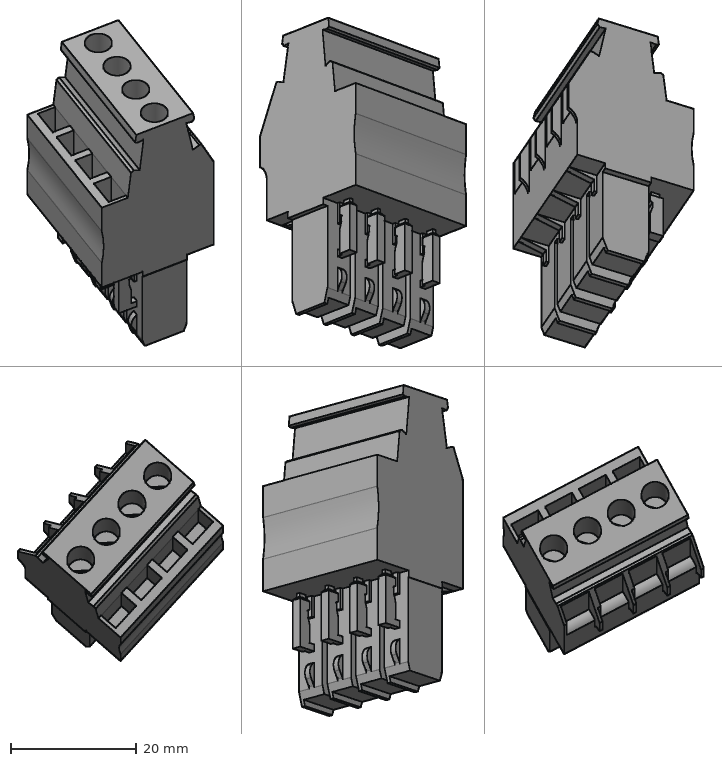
import cadquery as cq


POLES = 4
WIDTH = 24.6
PITCH = WIDTH / POLES
HEIGHT = 48.5
FIN_BACK = 22.0
BODY_BACK = 20.45
BODY_BOTTOM = 17.65
OVERLAP = 0.25

LEDGE_Z = 35.3
LEDGE_BACK = 4.75
FACE_DISH_TOP = 30.05
FACE_DISH_BOTTOM = 23.1
FACE_DISH_DEPTH = 0.35
HEAD_FRONT = 6.3
HEAD_BACK = 16.7
LIP_FRONT = 6.1
LIP_FRONT_Z = 46.9
LIP_BACK = 16.9
LIP_BACK_Z = 47.15
HOOK_FRONT = 6.6
HOOK_BACK = 16.55
HOOK_BOTTOM = 46.65
NECK_TOP = 46.8
NECK_BOTTOM = 40.4
NECK_TOP_FRONT = 7.6
NECK_TOP_BACK = 15.45
NECK_BOTTOM_FRONT = 6.95
NECK_BOTTOM_BACK = 16.65
SHOULDER_Z = 40.85
SHOULDER_FRONT = 5.8
SHOULDER_EDGE_FRONT = 5.35
SHOULDER_EDGE_Z = 40.55
SHOULDER_BACK = 17.8
SLOPE_TOP_BACK = 18.25
SLOPE_BOTTOM_Z = 32.6

FIN_THICKNESS = 0.55
FIN_FOOT_TOP = 27.3
FIN_FOOT_BOTTOM = 24.9
FIN_FOOT_MID = (21.0, 26.35)
RECESS_END = 5.6
RECESS_FRONT = 18.4
RECESS_FLOOR_Z = 29.1
RECESS_CROWN = 0.3

ENTRY_START = 0.65
ENTRY_END = 5.55
ENTRY_FRONT = 1.6
ENTRY_DEPTH = 9.7

SCREW_Y = 11.3
SCREW_RADIUS = 2.2
SCREW_HEAD_DEPTH = 9.7
SLOT_WIDTH = 0.75
SLOT_DEPTH = 0.95
SLOT_ANGLE = -45

BASE_BOTTOM = 16.55
PLUG_FRONT = 7.45
PLUG_BACK = 15.55
PLUG_START = 0.95
PLUG_END = 6.05
PLUG_TIP_Z = 0.95
PLUG_TAPER_Z = 2.4
TIP_FRONT = 8.2
TIP_BACK = 14.7
TAB_THICKNESS = 0.7

SHEET_START = 3.2
SHEET_END = 4.25
COLLAR_FRONT = 6.95
COLLAR_BACK = 16.05
COLLAR_BOTTOM = 14.1
COLLAR_SLOPE_Z = 16.6
BUMP_TOP = 6.55
BUMP_PEAK = (6.45, 4.85)
BUMP_TURN = (6.7, 3.9)
BUMP_BOTTOM = 2.7

ARM_START = 2.65
ARM_END = SHEET_END
ARM_FRONT = 4.1
ARM_BACK = 6.45
ARM_BOTTOM = 8.45
ARM_WAIST_BACK = 6.0
ARM_WAIST_TOP = 15.2
ARM_WAIST_STEP = 14.95
ARM_WAIST_MID = 13.95
ARM_WAIST_BOTTOM = 12.45
LINK_TOP = 9.6
ARM_CHAMFER_X = 0.5
ARM_CHAMFER_Y = 0.45
ARM_CHAMFER_Z = 0.5


def box(x0, x1, y0, y1, z0, z1):
    """Box between two opposite corners."""
    return cq.Workplane("XY").box(x1 - x0, y1 - y0, z1 - z0, centered=False).translate((x0, y0, z0))


def slab(outline, start, end):
    """Closed YZ outline extruded along X from start to end."""
    return outline.close().extrude(end - start).translate((start, 0, 0))


def housing():
    """Housing outline with fins, cut back to the plain rear face and recessed between the fins."""
    outline = (
        cq.Workplane("YZ")
        .moveTo(0, BODY_BOTTOM)
        .lineTo(0, FACE_DISH_BOTTOM)
        .threePointArc((FACE_DISH_DEPTH, (FACE_DISH_BOTTOM + FACE_DISH_TOP) / 2), (0, FACE_DISH_TOP))
        .lineTo(0, LEDGE_Z)
        .lineTo(LEDGE_BACK, LEDGE_Z)
        .lineTo(SHOULDER_EDGE_FRONT, SHOULDER_EDGE_Z)
        .lineTo(SHOULDER_FRONT, SHOULDER_Z)
        .lineTo(NECK_BOTTOM_FRONT, NECK_BOTTOM)
        .lineTo(NECK_TOP_FRONT, NECK_TOP)
        .lineTo(HOOK_FRONT, HOOK_BOTTOM)
        .lineTo(LIP_FRONT, LIP_FRONT_Z)
        .lineTo(HEAD_FRONT, HEIGHT)
        .lineTo(HEAD_BACK, HEIGHT)
        .lineTo(LIP_BACK, LIP_BACK_Z)
        .lineTo(HOOK_BACK, HOOK_BOTTOM)
        .lineTo(NECK_TOP_BACK, NECK_TOP)
        .lineTo(NECK_BOTTOM_BACK, NECK_BOTTOM)
        .lineTo(SHOULDER_BACK, SHOULDER_Z)
        .lineTo(SLOPE_TOP_BACK, SHOULDER_Z)
        .lineTo(FIN_BACK, SLOPE_BOTTOM_Z)
        .lineTo(FIN_BACK, FIN_FOOT_TOP)
        .threePointArc(FIN_FOOT_MID, (BODY_BACK, FIN_FOOT_BOTTOM))
        .lineTo(BODY_BACK, BODY_BOTTOM)
    )
    body = slab(outline, 0, WIDTH)
    crest = ((RECESS_FRONT + BODY_BACK) / 2, RECESS_FLOOR_Z + RECESS_CROWN)
    for pole in range(POLES):
        x = pole * PITCH
        body = body.cut(
            box(x + FIN_THICKNESS, x + PITCH, BODY_BACK, FIN_BACK + OVERLAP, BODY_BOTTOM, HEIGHT)
        )
        recess = (
            cq.Workplane("YZ")
            .moveTo(RECESS_FRONT, RECESS_FLOOR_Z)
            .threePointArc(crest, (BODY_BACK, RECESS_FLOOR_Z))
            .lineTo(BODY_BACK, SHOULDER_Z)
            .lineTo(RECESS_FRONT, SHOULDER_Z)
        )
        body = body.cut(slab(recess, x + FIN_THICKNESS, x + RECESS_END))
    return body


def wire_entry(x):
    return box(x + ENTRY_START, x + ENTRY_END, ENTRY_FRONT, LEDGE_BACK, LEDGE_Z - ENTRY_DEPTH, LEDGE_Z)


def screw_opening(x):
    """Screwdriver shaft down to the screw head, with the slot cut into the head."""
    head_z = HEIGHT - SCREW_HEAD_DEPTH
    centre = (x + PITCH / 2, SCREW_Y, head_z)
    shaft = cq.Workplane("XY").circle(SCREW_RADIUS).extrude(SCREW_HEAD_DEPTH)
    slot = (
        cq.Workplane("XY")
        .rect(2 * SCREW_RADIUS, SLOT_WIDTH)
        .extrude(-SLOT_DEPTH)
        .rotate((0, 0, 0), (0, 0, 1), SLOT_ANGLE)
        .intersect(cq.Workplane("XY").circle(SCREW_RADIUS).extrude(-SLOT_DEPTH))
    )
    return shaft.union(slot).translate(centre)


def plug(x):
    """Tapered plug whose -X wall reaches further down as a thin tab."""
    outline = (
        cq.Workplane("YZ")
        .moveTo(PLUG_FRONT, BODY_BOTTOM)
        .lineTo(PLUG_FRONT, PLUG_TAPER_Z)
        .lineTo(TIP_FRONT, 0)
        .lineTo(TIP_BACK, 0)
        .lineTo(PLUG_BACK, PLUG_TAPER_Z)
        .lineTo(PLUG_BACK, BODY_BOTTOM)
    )
    block = slab(outline, x + PLUG_START, x + PLUG_END)
    beside_tab = box(
        x + PLUG_START + TAB_THICKNESS, x + PLUG_END, PLUG_FRONT, PLUG_BACK, 0, PLUG_TIP_Z
    )
    return block.cut(beside_tab)


def contact_sheet(x):
    """Collar around the plug root, contact bump near its tip and link to the latch arm."""
    inside = PLUG_FRONT + OVERLAP
    taper = (TIP_FRONT - PLUG_FRONT) / PLUG_TAPER_Z
    bump_foot = PLUG_FRONT - taper * (BUMP_BOTTOM - PLUG_TAPER_Z)
    collar = (
        cq.Workplane("YZ")
        .moveTo(COLLAR_FRONT, BODY_BOTTOM)
        .lineTo(COLLAR_FRONT, COLLAR_BOTTOM)
        .lineTo(COLLAR_BACK, COLLAR_BOTTOM)
        .lineTo(COLLAR_BACK, COLLAR_SLOPE_Z)
        .lineTo(BODY_BACK, BODY_BOTTOM)
    )
    bump = (
        cq.Workplane("YZ")
        .moveTo(PLUG_FRONT, BUMP_TOP)
        .threePointArc(BUMP_PEAK, BUMP_TURN)
        .lineTo(bump_foot, BUMP_BOTTOM)
        .lineTo(PLUG_FRONT, PLUG_TAPER_Z)
        .lineTo(inside, PLUG_TAPER_Z)
        .lineTo(inside, BUMP_TOP)
    )
    start = x + SHEET_START
    end = x + SHEET_END
    link = box(start, end, ARM_BACK - OVERLAP, inside, ARM_BOTTOM, LINK_TOP)
    return slab(collar, start, end).union(slab(bump, start, end)).union(link)


def latch_arm(x):
    """Upright arm, waisted at the back, tapering to a thin neck under the housing."""
    outline = (
        cq.Workplane("YZ")
        .moveTo(ARM_FRONT, ARM_BOTTOM)
        .lineTo(ARM_FRONT, BASE_BOTTOM)
        .lineTo(ARM_BACK, BASE_BOTTOM)
        .lineTo(ARM_BACK, ARM_WAIST_TOP)
        .lineTo(ARM_WAIST_BACK, ARM_WAIST_STEP)
        .lineTo(ARM_WAIST_BACK, ARM_WAIST_MID)
        .lineTo(ARM_BACK, ARM_WAIST_BOTTOM)
        .lineTo(ARM_BACK, ARM_BOTTOM)
    )
    arm = slab(outline, x + ARM_START, x + ARM_END)
    width = ARM_END - ARM_START
    depth = ARM_BACK - ARM_FRONT
    neck_width = width - 2 * ARM_CHAMFER_X
    neck_depth = depth - 2 * ARM_CHAMFER_Y
    centre = (x + ARM_START + width / 2, ARM_FRONT + depth / 2, BASE_BOTTOM)
    taper = (
        cq.Workplane("XY")
        .rect(width, depth)
        .workplane(offset=ARM_CHAMFER_Z)
        .rect(neck_width, neck_depth)
        .loft(ruled=True)
    )
    neck = cq.Workplane("XY").rect(neck_width, neck_depth).extrude(BODY_BOTTOM - BASE_BOTTOM)
    return arm.union(taper.union(neck).translate(centre))


result = housing().union(box(0, WIDTH, PLUG_FRONT, PLUG_BACK, BASE_BOTTOM, BODY_BOTTOM))
for pole in range(POLES):
    pole_x = pole * PITCH
    result = result.cut(wire_entry(pole_x)).cut(screw_opening(pole_x))
    result = result.union(plug(pole_x)).union(contact_sheet(pole_x)).union(latch_arm(pole_x))